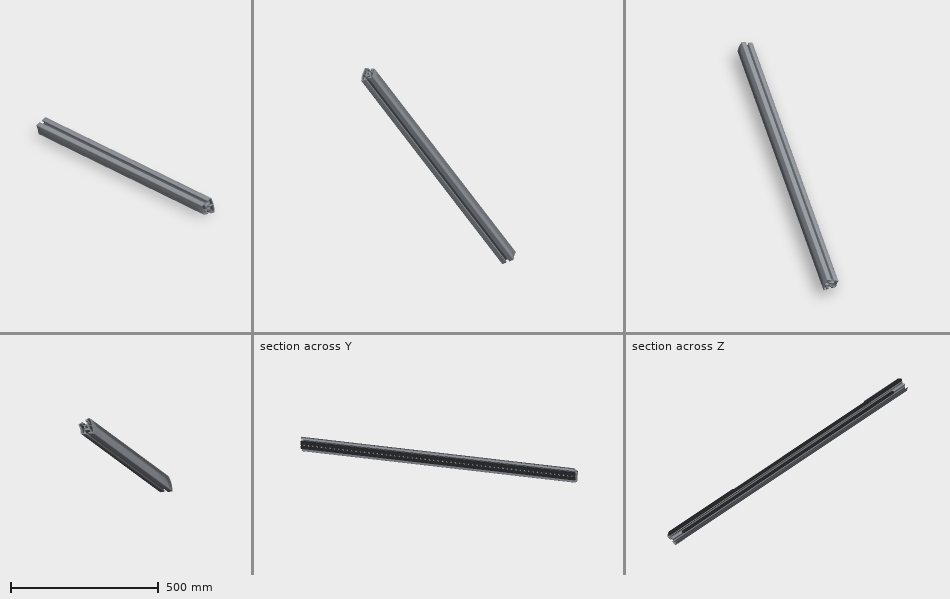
import cadquery as cq
import math

LENGTH = 1000.0
SECTOR_ANGLE = 30.0
MIDDLE_ANGLE = SECTOR_ANGLE / 2
PROFILE_WIDTH = 45.0
BEND_RADIUS = 90.0
OUTER_RADIUS = BEND_RADIUS + PROFILE_WIDTH / 2
INNER_RADIUS = BEND_RADIUS - PROFILE_WIDTH / 2
CORNER_RADIUS = 3.0

SLOT_OPENING = 10.0
LIP_THICKNESS = 6.0
MOUTH_CHAMFER = 1.0
CHAMBER_WIDTH = 21.0
SHOULDER_DEPTH = 11.0
FLOOR_WIDTH = 15.0
SLOT_DEPTH = 13.5

OUTER_WALL = 2.0
CHAMBER_WALL = 1.5
END_WALL = 3.0
WEB_THICKNESS = 1.5
CORE_WIDTH = 15.0
BORE_DIAMETER = 10.0
NOTCH_SPAN = 15.0
NOTCH_WIDTH = 2.0
NOTCH_ANGLE = 45.0


def polar(radius, angle):
    """(Y, Z) point at an angle above the lower flat face."""
    radians = math.radians(angle)
    return (radius * math.cos(radians), radius * math.sin(radians))


def ring_sector(outer, inner, inset):
    """Ring sector whose flat faces lie `inset` inside the profile's flat faces."""
    outer_start = math.degrees(math.asin(inset / outer))
    inner_start = math.degrees(math.asin(inset / inner))
    return (
        cq.Workplane("YZ")
        .moveTo(*polar(outer, outer_start))
        .threePointArc(polar(outer, MIDDLE_ANGLE), polar(outer, SECTOR_ANGLE - outer_start))
        .lineTo(*polar(inner, SECTOR_ANGLE - inner_start))
        .threePointArc(polar(inner, MIDDLE_ANGLE), polar(inner, inner_start))
        .close()
        .extrude(LENGTH)
    )


def in_both_faces(half_outline):
    """Prisms entering both flat faces, from (half width, depth) points of a symmetric outline."""
    outline = [(BEND_RADIUS + half, depth) for half, depth in half_outline]
    outline += [(BEND_RADIUS - half, depth) for half, depth in reversed(half_outline)]
    lower = cq.Workplane("YZ").polyline(outline).close().extrude(LENGTH)
    upper = lower.mirror("XY").rotate((0, 0, 0), (1, 0, 0), SECTOR_ANGLE)
    return lower.union(upper)


def slots():
    """T-slot cutters with a chamfered mouth and a floor narrowing past the shoulders."""
    half_chamber = CHAMBER_WIDTH / 2
    return in_both_faces(
        [
            (SLOT_OPENING / 2 + MOUTH_CHAMFER, 0),
            (SLOT_OPENING / 2, MOUTH_CHAMFER),
            (SLOT_OPENING / 2, LIP_THICKNESS),
            (half_chamber, LIP_THICKNESS),
            (half_chamber, SHOULDER_DEPTH),
            (FLOOR_WIDTH / 2, SLOT_DEPTH),
        ]
    )


def slot_walls():
    """Solid around the slots: their chambers grown by the wall thickness around them."""
    slope = math.atan2(SLOT_DEPTH - SHOULDER_DEPTH, (CHAMBER_WIDTH - FLOOR_WIDTH) / 2)
    half_chamber = CHAMBER_WIDTH / 2 + CHAMBER_WALL
    shoulder = SHOULDER_DEPTH + CHAMBER_WALL * math.tan((math.pi / 2 - slope) / 2)
    half_floor = FLOOR_WIDTH / 2 + CHAMBER_WALL * math.tan(slope / 2)
    floor = SLOT_DEPTH + CHAMBER_WALL
    return in_both_faces([(half_chamber, 0), (half_chamber, shoulder), (half_floor, floor)])


def on_middle(radius, turn=0.0):
    """Workplane centred on the symmetry line, with local x pointing outward plus `turn` degrees."""
    y, z = polar(radius, MIDDLE_ANGLE)
    return cq.Workplane("YZ", origin=(0, y, z)).transformed(rotate=(0, 0, MIDDLE_ANGLE + turn))


def hollows():
    """Cavities between the walls, the core and the web that ties the core to the outer wall."""
    hollow = ring_sector(OUTER_RADIUS - OUTER_WALL, INNER_RADIUS + OUTER_WALL, END_WALL)
    face_to_face = 2 * BEND_RADIUS * math.sin(math.radians(MIDDLE_ANGLE))
    core = on_middle(BEND_RADIUS).rect(CORE_WIDTH, face_to_face).extrude(LENGTH)
    web_length = OUTER_RADIUS - BEND_RADIUS
    web = on_middle(BEND_RADIUS + web_length / 2).rect(web_length, WEB_THICKNESS).extrude(LENGTH)
    return hollow.cut(core).cut(web).cut(slot_walls())


def bore():
    """Round core bore with two crossed relief slits."""
    hole = on_middle(BEND_RADIUS).circle(BORE_DIAMETER / 2).extrude(LENGTH)
    for turn in (NOTCH_ANGLE, NOTCH_ANGLE + 90):
        hole = hole.union(on_middle(BEND_RADIUS, turn).rect(NOTCH_SPAN, NOTCH_WIDTH).extrude(LENGTH))
    return hole


profile = ring_sector(OUTER_RADIUS, INNER_RADIUS, 0).edges("|X").fillet(CORNER_RADIUS)
result = profile.cut(slots()).cut(hollows()).cut(bore())